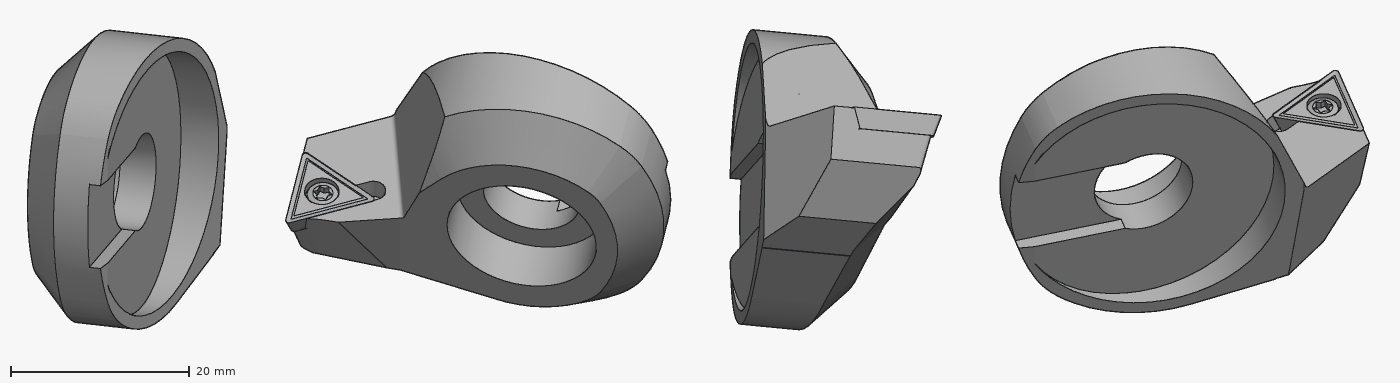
import cadquery as cq
import math


hub_radius = 16.55
flank_radius = 20.6
flank_reach = 15.4
hub_blend_radius = 10.0
hub_chamfer = 4.45
bore_radius = 5.55
counterbore_radius = 8.55
counterbore_depth = 5.82
recess_radius = 15.05
recess_floor = 10.05
slot_floor = 8.45
slot_width = 9.97
back_angle = 9.0
back_at_axis = 12.1

upper_chamfer_angle = 40.0
upper_tangent_angle = 20.0
lower_tangent_angle = 74.4
root_y = 13.95
arm_depth = 13.4
front_y = 26.45
arm_inner_y = 9.35
arm_back_x = 16.75
shoulder_x = 9.45
floor_z = -0.1
front_draft = 11.0
side_draft = 10.0
rear_draft = 5.0
root_lean = 16.0
side_corner = (-1.93, 20.65)
rear_normal_angle = 30.0
nose_start_y = 22.35
nose_start_draft = -5.0
nose_hollow_radius = 10.05
nose_radius = 0.4
bevel_top = (25.25, -6.05)
bevel_bottom = (20.32, -11.4)
chamfer_mid = (0.0, 13.85, -9.18)
chamfer_end = (-0.55, 23.85, -7.75)

wall_foot_y = 13.58
wall_turn = 15.0
wall_lean = 20.0
wall_foot_fillet = 0.55

insert_x = 2.1
insert_inradius = 3.2
insert_tip_y = 26.5
insert_y = insert_tip_y - insert_inradius
insert_thickness = 2.35
insert_corner_radius = 0.38
corner_spacing = 120
first_corner = 270
insert_relief_angle = 11.0
groove_depth = 0.13
groove_floor_inset = 0.4
groove_rise_inset = 0.55
plateau_inset = 0.8
groove_corner_radius = 0.05
insert_hole_radius = 1.93
insert_seat_depth = 1.17

screw_x = insert_x - 0.05
screw_y = insert_y - 0.13
head_radius = 1.75
head_rim_depth = 0.45
crown_radius = 1.15
crown_depth = 0.2
shank_radius = 1.25
shank_end_z = -6.3
star_outer_radius = 1.05
star_inner_radius = 0.7
star_lobes = 6
star_depth = 0.85

relief_x = 3.4
relief_y = 17.65
relief_radius = 1.4
relief_length = 2.1
relief_taper = 8.0
relief_direction = 120.0

big = 25.15
overcut = 0.85


def tan_deg(angle):
    return math.tan(math.radians(angle))


def unit(angle):
    """Unit direction at an angle in degrees."""
    return math.cos(math.radians(angle)), math.sin(math.radians(angle))


def meet(line_a, line_b, depth=0.0):
    """Meeting point of two drafted plan lines at a depth below Z = 0.

    A line is (point, outward normal angle, draft angle); draft pulls it inwards with depth.
    """
    rows = []
    for point, normal_angle, draft in (line_a, line_b):
        nx, ny = unit(normal_angle)
        rows.append((nx, ny, nx * point[0] + ny * point[1] - depth * tan_deg(draft)))
    (a, b, e), (c, d, f) = rows
    determinant = a * d - b * c
    return (e * d - b * f) / determinant, (a * f - e * c) / determinant


root_face = ((0.0, root_y), 180.0 + root_lean, 0.0)
side_face = (side_corner, 180.0, side_draft)
nose_start = ((0.0, nose_start_y), 90.0, nose_start_draft)
front_face = ((shoulder_x, front_y), 90.0, front_draft)
rear_face = ((shoulder_x, front_y), rear_normal_angle, rear_draft)
inner_end = ((0.0, arm_inner_y), 270.0, 0.0)
beyond_back = ((arm_back_x, 0.0), 0.0, 0.0)
back_face = ((back_at_axis, 0.0), -back_angle, 0.0)

upper_normal = unit(upper_chamfer_angle)
lower_normal = unit(-lower_tangent_angle)


def on_hub(direction):
    return hub_radius * direction[0], hub_radius * direction[1]


def make_hub():
    """Hub disc: circle flattened by a larger arc, blended and chamfered."""
    flank_center = flank_radius - flank_reach
    to_hub = hub_radius - hub_blend_radius
    to_flank = flank_radius - hub_blend_radius
    blend_y = (to_hub**2 - to_flank**2 + flank_center**2) / (2 * flank_center)
    blend_z = math.sqrt(to_hub**2 - blend_y**2)

    hub_touch_angle = math.degrees(math.atan2(blend_z, blend_y))
    flank_touch_angle = math.degrees(math.atan2(blend_z, blend_y - flank_center))
    middle = unit((hub_touch_angle + flank_touch_angle) / 2)
    toward_flank = unit(flank_touch_angle)
    hub_y, hub_z = on_hub(unit(hub_touch_angle))
    flank_y = flank_center + flank_radius * toward_flank[0]
    flank_z = flank_radius * toward_flank[1]
    mid_y = blend_y + hub_blend_radius * middle[0]
    mid_z = blend_z + hub_blend_radius * middle[1]

    disc = (
        cq.Workplane("YZ")
        .moveTo(hub_y, -hub_z)
        .threePointArc((hub_radius, 0), (hub_y, hub_z))
        .threePointArc((mid_y, mid_z), (flank_y, flank_z))
        .threePointArc((-flank_reach, 0), (flank_y, -flank_z))
        .threePointArc((mid_y, -mid_z), (hub_y, -hub_z))
        .close()
        .extrude(big)
    )
    return disc.faces("<X").edges().chamfer(hub_chamfer)


def lower_edge_z(y):
    """Height of the straight lower edge of the arm."""
    return (hub_radius - lower_normal[0] * y) / lower_normal[1]


def make_web():
    """Plate that joins the hub to the arm and carries the wall."""
    upper_end_y = hub_radius / unit(upper_tangent_angle)[0]
    middle = unit((upper_chamfer_angle + upper_tangent_angle) / 2)
    return (
        cq.Workplane("YZ")
        .lineTo(*on_hub(upper_normal))
        .threePointArc(on_hub(middle), on_hub(unit(upper_tangent_angle)))
        .lineTo(upper_end_y, 0)
        .lineTo(root_y, 0)
        .lineTo(root_y, lower_edge_z(root_y))
        .lineTo(*on_hub(lower_normal))
        .close()
        .extrude(big)
    )


def make_arm():
    """Drafted arm with a hollow flank and rounded nose, trimmed to its side outline."""
    def nose_point(y, depth):
        side_x, start_y = meet(side_face, nose_start, depth)
        return side_x - nose_hollow_radius + math.sqrt(nose_hollow_radius**2 - (y - start_y)**2), y

    def plan(depth):
        hollow_start = meet(side_face, nose_start, depth)
        end_y = meet(front_face, rear_face, depth)[1]
        return (
            cq.Workplane("XY", origin=(0, 0, -depth))
            .moveTo(*meet(inner_end, root_face, depth))
            .lineTo(*meet(root_face, side_face, depth))
            .lineTo(*hollow_start)
            .threePointArc(nose_point((hollow_start[1] + end_y) / 2, depth), nose_point(end_y, depth))
            .lineTo(*meet(front_face, rear_face, depth))
            .lineTo(*meet(rear_face, beyond_back, depth))
            .lineTo(*meet(beyond_back, inner_end, depth))
            .close()
            .val()
        )

    blank = cq.Workplane(cq.Solid.makeLoft([plan(0), plan(arm_depth)], True))
    bevel_run = (bevel_top[0] - bevel_bottom[0]) / (bevel_top[1] - bevel_bottom[1])
    outline = (
        cq.Workplane("YZ", origin=(-big / 2, 0, 0))
        .polyline([
            (0, 0),
            (bevel_top[0] - bevel_top[1] * bevel_run, 0),
            bevel_bottom,
            on_hub(lower_normal),
        ])
        .close()
        .extrude(2 * big)
    )
    mid_depth = -bevel_top[1] / 2
    mid_y = front_y - mid_depth * tan_deg(front_draft)
    nose_edge = cq.selectors.NearestToPointSelector((*nose_point(mid_y, mid_depth), -mid_depth))
    return blank.intersect(outline).edges(nose_edge).fillet(nose_radius)


def chamfer_cutter(direction, inner_points):
    """45 degree cutter through points on the inner border of a chamfer."""
    sections = []
    for x, y, z in inner_points:
        width = hub_radius - direction[0] * y - direction[1] * z

        def place(across, out):
            return cq.Vector(x + across, y + out * direction[0], z + out * direction[1])

        far = width + overcut
        corners = [place(-overcut, -overcut), place(far, far), place(-overcut, far)]
        sections.append(cq.Wire.makePolygon(corners, close=True))
    return cq.Workplane(cq.Solid.makeLoft(sections, True))


def make_arm_chamfers():
    """Straight chamfer above the arm and the fading one below it."""
    inner_radius = hub_radius - hub_chamfer
    upper_start = (0.0, inner_radius * upper_normal[0], inner_radius * upper_normal[1])
    run = hub_radius / 2
    upper_end = (0.0, upper_start[1] + run * upper_normal[1], upper_start[2] - run * upper_normal[0])
    lower_start = (0.0, inner_radius * lower_normal[0], inner_radius * lower_normal[1])
    upper = chamfer_cutter(upper_normal, [upper_start, upper_end])
    lower = chamfer_cutter(lower_normal, [lower_start, chamfer_mid, chamfer_end])
    return upper, lower


def make_back_cutter():
    """Everything behind the tilted back face and the rear slanted face."""
    corner = meet(back_face, rear_face)
    low_x = back_at_axis - big * tan_deg(back_angle)
    return (
        cq.Workplane("XY", origin=(0, 0, -big))
        .polyline([
            (low_x, -big),
            corner,
            (shoulder_x, front_y),
            (shoulder_x, 2 * big),
            (2 * big, 2 * big),
            (2 * big, -big),
        ])
        .close()
        .extrude(2 * big)
    )


def make_step_cutter():
    """Space above the arm floor, in front of the leaning wall."""
    along = unit(wall_turn)
    plane = cq.Plane(
        origin=(0, wall_foot_y, floor_z),
        xDir=(-along[1], along[0], 0),
        normal=(along[0], along[1], 0),
    )
    space = (
        cq.Workplane(plane)
        .polyline([(0, 0), (big, 0), (big, big), (-big * tan_deg(wall_lean), big)])
        .close()
        .extrude(big, both=True)
    )
    foot = cq.selectors.NearestToPointSelector((0, wall_foot_y, floor_z))
    return space.edges(foot).fillet(wall_foot_fillet)


def cylinder_x(radius, start, end):
    return cq.Workplane("YZ", origin=(start, 0, 0)).circle(radius).extrude(end - start)


def cylinder_z(x, y, radius, bottom, top):
    return cq.Workplane("XY", origin=(x, y, bottom)).circle(radius).extrude(top - bottom)


def triangle(inset, z, corner_radius):
    """Rounded triangle wire pointing to -Y, inset from the cutting edge."""
    center_distance = 2 * (insert_inradius - inset - corner_radius)

    def corner_point(turn, swing):
        cx, cy = unit(turn)
        dx, dy = unit(turn + swing)
        x = insert_x + center_distance * cx + corner_radius * dx
        y = insert_y + center_distance * cy + corner_radius * dy
        return x, y

    half_arc = corner_spacing / 2
    second_corner = first_corner + corner_spacing
    third_corner = second_corner + corner_spacing
    outline = (
        cq.Workplane("XY", origin=(0, 0, z))
        .moveTo(*corner_point(first_corner, -half_arc))
        .threePointArc(corner_point(first_corner, 0), corner_point(first_corner, half_arc))
    )
    for turn in (second_corner, third_corner):
        outline = outline.lineTo(*corner_point(turn, -half_arc))
        outline = outline.threePointArc(corner_point(turn, 0), corner_point(turn, half_arc))
    return outline.close().val()


def triangle_block(lower, upper):
    return cq.Workplane(cq.Solid.makeLoft([triangle(*lower), triangle(*upper)], True))


def make_insert_blank():
    bottom_inset = insert_thickness * tan_deg(insert_relief_angle)
    return triangle_block(
        (bottom_inset, -insert_thickness, insert_corner_radius),
        (0.0, 0.0, insert_corner_radius),
    )


def make_insert():
    """Triangular cutting insert with a chip groove and a stepped screw hole."""
    trough = triangle_block(
        (groove_floor_inset, -groove_depth, groove_corner_radius),
        (0.0, 0.0, insert_corner_radius),
    )
    plateau = triangle_block(
        (groove_rise_inset, -groove_depth, groove_corner_radius),
        (plateau_inset, 0.0, groove_corner_radius),
    )
    return (
        make_insert_blank()
        .cut(trough.cut(plateau))
        .cut(cylinder_z(insert_x, insert_y, insert_hole_radius, -insert_seat_depth, overcut))
        .cut(cylinder_z(screw_x, screw_y, shank_radius, -insert_thickness - overcut, 0))
    )


def make_screw():
    """Screw with a conical crown and a six-lobed socket."""
    profile = [
        (0, shank_end_z),
        (shank_radius, shank_end_z),
        (shank_radius, -insert_seat_depth),
        (head_radius, -insert_seat_depth),
        (head_radius, -head_rim_depth),
        (crown_radius, -crown_depth),
        (0, -crown_depth),
    ]
    blank = (
        cq.Workplane("XZ", origin=(screw_x, screw_y, 0))
        .polyline(profile)
        .close()
        .revolve(360, (0, 0), (0, 1))
    )
    points = []
    for i in range(2 * star_lobes):
        dx, dy = unit(90 + 180 * i / star_lobes)
        radius = star_inner_radius if i % 2 else star_outer_radius
        points.append((radius * dx, radius * dy))
    socket = (
        cq.Workplane("XY", origin=(screw_x, screw_y, -crown_depth))
        .polyline(points)
        .close()
        .extrude(-star_depth)
    )
    return blank.cut(socket)


def make_relief_slot():
    """Tapered slot that clears the inner corner of the insert."""
    dx, dy = unit(relief_direction)
    return (
        cq.Workplane("XY")
        .center(relief_x + dx * relief_length / 2, relief_y + dy * relief_length / 2)
        .slot2D(relief_length + 2 * relief_radius, 2 * relief_radius, relief_direction)
        .extrude(-insert_thickness, taper=relief_taper)
    )


def make_holder():
    body = make_web().union(make_arm())
    for cutter in make_arm_chamfers():
        body = body.cut(cutter)
    body = body.union(make_hub())
    body = body.cut(make_back_cutter()).cut(make_step_cutter())

    body = body.cut(cylinder_x(bore_radius, 0, big))
    body = body.cut(cylinder_x(counterbore_radius, 0, counterbore_depth))
    body = body.cut(cylinder_x(recess_radius, recess_floor, big))
    slot = cq.Workplane("XY").box(big, flank_reach + overcut, slot_width, centered=(False, False, True))
    body = body.cut(slot.translate((slot_floor, -flank_reach - overcut, 0)))

    body = body.cut(make_insert_blank()).cut(make_relief_slot())
    return body.cut(cylinder_z(screw_x, screw_y, shank_radius, shank_end_z, 0))


holder = make_holder()
insert = make_insert()
screw = make_screw()

result = cq.Compound.makeCompound([holder.val(), insert.val(), screw.val()])